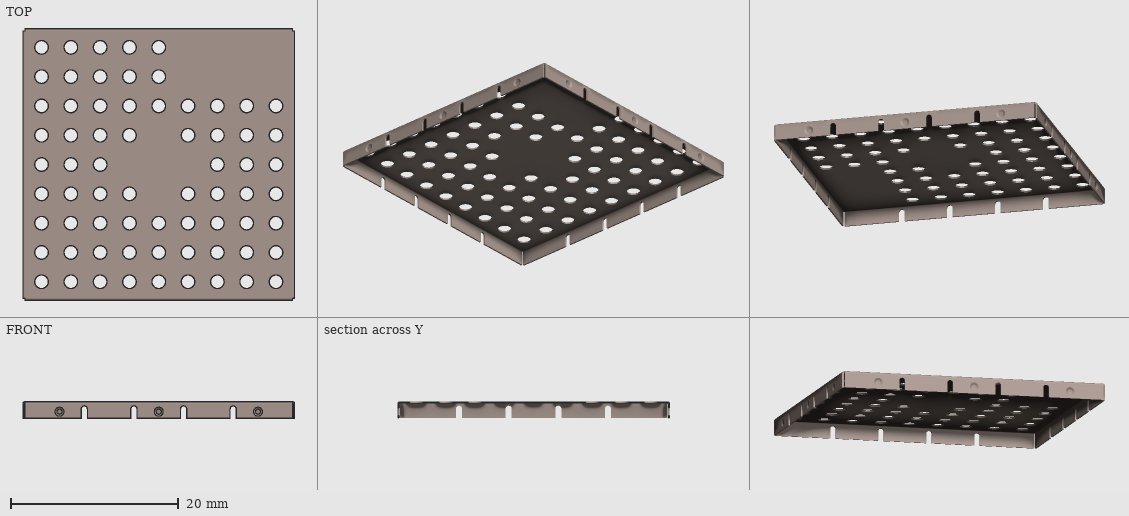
import cadquery as cq

side = 32.45
height = 2.0
thickness = 0.2
bend_radius = 0.25

hole_diameter = 1.6
hole_span = 27.98
holes_from_centre = 4
hole_pitch = hole_span / (2 * holes_from_centre)

dimple_spacing = 11.85
wall_pitch = dimple_spacing / 2
slot_width = 0.7
slot_height = 1.5
slot_stations = (-1.5, -0.5, 0.5, 1.5)

dimple_stations = (-2, 0, 2)
dimple_height = 0.8
dimple_mouth_diameter = 1.07
dimple_floor_diameter = 0.62
dimple_depth = 0.13

half_side = side / 2


def make_shell():
    """Open-bottomed box with rounded folds and open notches at the corners."""
    outer = cq.Workplane("XY").box(side, side, height, centered=(True, True, False))
    outer = outer.faces(">Z").edges().fillet(bend_radius)
    inner_side = side - 2 * thickness
    inner = cq.Workplane("XY").box(
        inner_side, inner_side, height - thickness, centered=(True, True, False)
    )
    inner = inner.faces(">Z").edges().fillet(bend_radius - thickness)
    notch_spacing = side - bend_radius
    notches = (
        cq.Workplane("XY")
        .rect(notch_spacing, notch_spacing, forConstruction=True)
        .vertices()
        .rect(bend_radius, bend_radius)
        .extrude(height)
    )
    return outer.cut(inner).cut(notches)


def has_hole(column, row):
    """Leave a plain diamond in the middle and a plain label area in the +X +Y corner."""
    in_middle = abs(column) + abs(row) <= 1
    in_label_area = column >= 1 and row >= 3
    return not (in_middle or in_label_area)


def make_vent_holes():
    steps = range(-holes_from_centre, holes_from_centre + 1)
    centres = [
        (column * hole_pitch, row * hole_pitch)
        for column in steps
        for row in steps
        if has_hole(column, row)
    ]
    return cq.Workplane("XY").pushPoints(centres).circle(hole_diameter / 2).extrude(height)


def make_slot(x):
    """Round-topped slot through the -Y wall, open at the lower rim."""
    slot_radius = slot_width / 2
    arc_start_height = slot_height - slot_radius
    return (
        cq.Workplane("XZ", origin=(x, -half_side, 0))
        .moveTo(-slot_radius, 0)
        .lineTo(-slot_radius, arc_start_height)
        .threePointArc((0, slot_height), (slot_radius, arc_start_height))
        .lineTo(slot_radius, 0)
        .close()
        .extrude(-thickness)
    )


def make_dimple(x):
    """Shallow tapered recess in the outside of the -Y wall."""
    return cq.Workplane(
        cq.Solid.makeCone(
            dimple_mouth_diameter / 2,
            dimple_floor_diameter / 2,
            dimple_depth,
            pnt=cq.Vector(x, -half_side, dimple_height),
            dir=cq.Vector(0, 1, 0),
        )
    )


def cut_walls(body):
    """Cut the same slots and dimples into all four walls."""
    cutters = [make_slot(station * wall_pitch) for station in slot_stations]
    cutters += [make_dimple(station * wall_pitch) for station in dimple_stations]
    for turn in (0, 90, 180, 270):
        for cutter in cutters:
            body = body.cut(cutter.rotate((0, 0, 0), (0, 0, 1), turn))
    return body


result = cut_walls(make_shell().cut(make_vent_holes()))